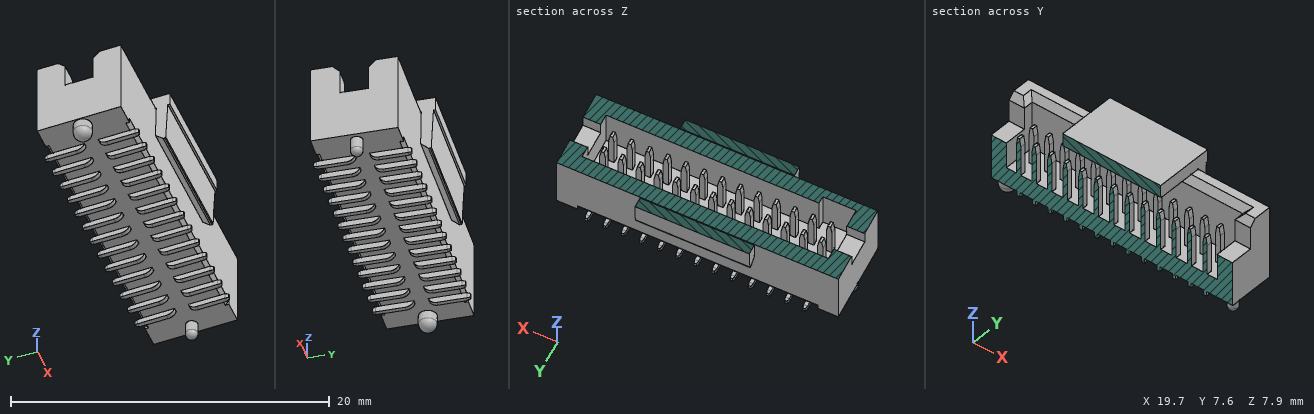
import cadquery as cq


LENGTH = 19.71
WIDTH = 5.68
HEIGHT = 5.7
CAVITY_FLOOR = 1.5
END_WALL = 1.26
SIDE_WALL = 1.15
LEAD_IN = 0.47
SLOT_WIDTH = 1.85
SLOT_FLOOR = 3.5
NOTCH_WALL = 0.61
NOTCH_END = 3.57
RELIEF_LENGTH = 16.8
RELIEF_HEIGHT = 0.35
RELIEF_DEPTH = 0.24

COLUMNS = 13
PIN_SPAN = 15.22
PITCH = PIN_SPAN / (COLUMNS - 1)
POST_SIZE = 0.4
POST_TOP = 4.42
POST_TAPER_HEIGHT = 0.6
POST_TIP_WIDTH = 0.2
FOOT_WIDTH = 0.3
FOOT_THICKNESS = 0.41
FOOT_REACH = 3.17
FOOT_TAPER_LENGTH = 0.22
FOOT_TAPER_INSET = 0.05
BEND_RADIUS = 0.6

PEG_X = 9.2
PEG_LENGTH = 1.2
LARGE_PEG_DIAMETER = 1.2
SMALL_PEG_DIAMETER = 0.8

CAP_LENGTH = 8.0
CAP_WIDTH = 7.6
CAP_THICKNESS = 1.0
LEG_LENGTH = 3.0
LEG_TOP_OUTER = 3.67
LEG_TIP_OUTER = 3.53
LEG_TIP_INNER = 3.35
LEG_TOP_INNER = 2.88
LEG_HOOK_HEIGHT = 0.47
LEG_TIP_BEVEL = 0.05

CAVITY_LENGTH = LENGTH - 2 * END_WALL
CAVITY_WIDTH = WIDTH - 2 * SIDE_WALL
LEAD_IN_BOTTOM = HEIGHT - LEAD_IN


def extrude_x(points, length):
    """A YZ outline extruded symmetrically about X = 0."""
    return cq.Workplane("YZ").polyline(points).close().extrude(length / 2, both=True)


def cavity():
    """Pin cavity whose rim widens to the top by the lead-in."""
    pocket = (
        cq.Workplane("XY", origin=(0, 0, CAVITY_FLOOR))
        .rect(CAVITY_LENGTH, CAVITY_WIDTH)
        .extrude(HEIGHT - CAVITY_FLOOR)
    )
    rim = (
        cq.Workplane("XY", origin=(0, 0, LEAD_IN_BOTTOM))
        .rect(CAVITY_LENGTH, CAVITY_WIDTH)
        .workplane(offset=LEAD_IN)
        .rect(CAVITY_LENGTH + 2 * LEAD_IN, CAVITY_WIDTH + 2 * LEAD_IN)
        .loft(ruled=True)
    )
    return pocket.union(rim)


def end_slots():
    """Slot through both end walls with bevelled top edges."""
    half_slot = SLOT_WIDTH / 2
    half_rim = half_slot + LEAD_IN
    outline = [
        (-half_slot, SLOT_FLOOR),
        (half_slot, SLOT_FLOOR),
        (half_slot, LEAD_IN_BOTTOM),
        (half_rim, HEIGHT),
        (-half_rim, HEIGHT),
        (-half_slot, LEAD_IN_BOTTOM),
    ]
    return extrude_x(outline, LENGTH)


def pin_1_notch():
    """Deeper stretch of the front wall at the -X end; the end wall's lead-in runs on into it."""
    end_x = CAVITY_LENGTH / 2
    outline = [
        (-end_x, CAVITY_FLOOR),
        (NOTCH_END - LENGTH / 2, CAVITY_FLOOR),
        (NOTCH_END - LENGTH / 2, HEIGHT),
        (-end_x - LEAD_IN, HEIGHT),
        (-end_x, LEAD_IN_BOTTOM),
    ]
    notch_y = NOTCH_WALL - WIDTH / 2
    notch_depth = CAVITY_WIDTH / 2 + notch_y
    return (
        cq.Workplane("XZ", origin=(0, notch_y, 0))
        .polyline(outline)
        .close()
        .extrude(notch_depth)
    )


def foot_relief(side):
    """Bevel along one lower long edge, above the feet."""
    edge_y = side * WIDTH / 2
    outline = [(edge_y, 0), (edge_y, RELIEF_HEIGHT), (edge_y - side * RELIEF_DEPTH, 0)]
    return extrude_x(outline, RELIEF_LENGTH)


def peg(x, diameter):
    """Locating peg with a hemispherical end."""
    radius = diameter / 2
    shank_length = PEG_LENGTH - radius
    shank = cq.Workplane("XY", origin=(x, 0, 0)).circle(radius).extrude(-shank_length)
    tip = cq.Workplane("XY", origin=(x, 0, -shank_length)).sphere(radius)
    return shank.union(tip)


def post():
    """Upright part of a pin in the +Y row at X = 0, tapered in X at its top."""
    half_width = POST_SIZE / 2
    half_tip = POST_TIP_WIDTH / 2
    taper_start = POST_TOP - POST_TAPER_HEIGHT
    outline = [
        (-half_width, 0),
        (half_width, 0),
        (half_width, taper_start),
        (half_tip, POST_TOP),
        (-half_tip, POST_TOP),
        (-half_width, taper_start),
    ]
    outer_y = PITCH / 2 + POST_SIZE / 2
    return cq.Workplane("XZ", origin=(0, outer_y, 0)).polyline(outline).close().extrude(POST_SIZE)


def foot():
    """Foot of a pin in the +Y row at X = 0, bent out from the post and tapered at its tip."""
    inner_y = PITCH / 2 - POST_SIZE / 2
    outer_y = inner_y + POST_SIZE
    taper_y = FOOT_REACH - FOOT_TAPER_LENGTH
    bend_z = BEND_RADIUS - FOOT_THICKNESS
    arm = (
        cq.Workplane("YZ")
        .moveTo(inner_y, bend_z)
        .radiusArc((inner_y + BEND_RADIUS, -FOOT_THICKNESS), -BEND_RADIUS)
        .lineTo(taper_y, -FOOT_THICKNESS)
        .lineTo(taper_y, 0)
        .lineTo(outer_y, 0)
        .lineTo(outer_y, bend_z)
        .close()
        .extrude(FOOT_WIDTH / 2, both=True)
    )
    tip = (
        cq.Workplane("XZ", origin=(0, taper_y, -FOOT_THICKNESS / 2))
        .rect(FOOT_WIDTH, FOOT_THICKNESS)
        .workplane(offset=-FOOT_TAPER_LENGTH)
        .rect(FOOT_WIDTH - 2 * FOOT_TAPER_INSET, FOOT_THICKNESS - 2 * FOOT_TAPER_INSET)
        .loft(ruled=True)
    )
    return arm.union(tip)


def make_connector():
    """Housing with its locating pegs and two rows of contact pins, as one solid."""
    connector = cq.Workplane("XY").rect(LENGTH, WIDTH).extrude(HEIGHT)
    connector = connector.cut(cavity()).cut(end_slots()).cut(pin_1_notch())
    connector = connector.cut(foot_relief(-1)).cut(foot_relief(1))
    connector = connector.union(peg(-PEG_X, LARGE_PEG_DIAMETER)).union(peg(PEG_X, SMALL_PEG_DIAMETER))
    back_pin = post().union(foot())
    front_pin = back_pin.mirror("XZ")
    for column in range(COLUMNS):
        x = (column - (COLUMNS - 1) / 2) * PITCH
        connector = connector.union(back_pin.translate((x, 0, 0))).union(front_pin.translate((x, 0, 0)))
    return connector


def make_cap():
    """Pick-up cap: a plate on the housing with two legs that grip its long sides."""
    plate = (
        cq.Workplane("XY", origin=(0, 0, HEIGHT))
        .rect(CAP_LENGTH, CAP_WIDTH)
        .extrude(CAP_THICKNESS)
    )
    leg_bottom = HEIGHT - LEG_LENGTH
    outline = [
        (LEG_TOP_INNER, HEIGHT),
        (LEG_TOP_OUTER, HEIGHT),
        (LEG_TIP_OUTER, leg_bottom + LEG_TIP_BEVEL),
        (LEG_TIP_OUTER - LEG_TIP_BEVEL, leg_bottom),
        (LEG_TIP_INNER, leg_bottom),
        (WIDTH / 2, leg_bottom + LEG_HOOK_HEIGHT),
    ]
    leg = extrude_x(outline, CAP_LENGTH)
    return plate.union(leg).union(leg.mirror("XZ"))


connector = make_connector()
cap = make_cap()
result = cq.Compound.makeCompound([connector.solids().val(), cap.solids().val()])